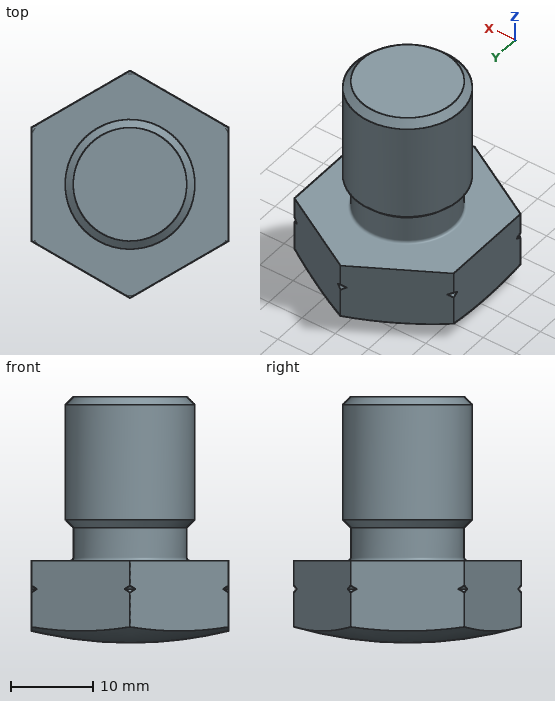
import cadquery as cq
import math

total_height = 30.0
across_flats = 24.0
head_height = 10.02
dome_radius = 50.0

shank_diameter = 15.8
shank_chamfer = 1.0
undercut_length = 5.0
neck_fillet = 0.4

groove_height = 6.57
groove_depth = 0.35
groove_half_width = 0.42

corner_radius = across_flats / 2 / math.cos(math.radians(30))
shank_radius = shank_diameter / 2
neck_radius = shank_radius - shank_chamfer
shank_start = head_height + undercut_length


def revolve_about_z(profile):
    """Revolve a closed (radius, height) profile about the Z axis."""
    return profile.close().revolve(360, (0, 0, 0), (0, 1, 0))


def make_head():
    """Hexagonal prism with corners on the Y axis and a spherical underside."""
    prism = (
        cq.Workplane("XY")
        .polygon(6, 2 * corner_radius)
        .extrude(head_height)
        .rotate((0, 0, 0), (0, 0, 1), 90)
    )
    dome = cq.Workplane("XY").sphere(dome_radius).translate((0, 0, dome_radius))
    return prism.intersect(dome)


def make_corner_groove():
    """V-shaped ring cutter whose root lies just inside the head corners."""
    root_radius = corner_radius - groove_depth
    outer_radius = corner_radius + groove_depth
    outer_half_width = 2 * groove_half_width
    return revolve_about_z(
        cq.Workplane("XZ")
        .moveTo(root_radius, groove_height)
        .lineTo(outer_radius, groove_height - outer_half_width)
        .lineTo(outer_radius, groove_height + outer_half_width)
    )


def make_shank():
    """Neck, chamfered shank and the fillet that joins them to the head."""
    base = head_height / 2
    fillet_edge = neck_radius + neck_fillet
    return revolve_about_z(
        cq.Workplane("XZ")
        .moveTo(0, base)
        .lineTo(fillet_edge, base)
        .lineTo(fillet_edge, head_height)
        .radiusArc((neck_radius, head_height + neck_fillet), neck_fillet)
        .lineTo(neck_radius, shank_start - shank_chamfer)
        .lineTo(shank_radius, shank_start)
        .lineTo(shank_radius, total_height - shank_chamfer)
        .lineTo(shank_radius - shank_chamfer, total_height)
        .lineTo(0, total_height)
    )


head = make_head().cut(make_corner_groove())
result = head.union(make_shank())